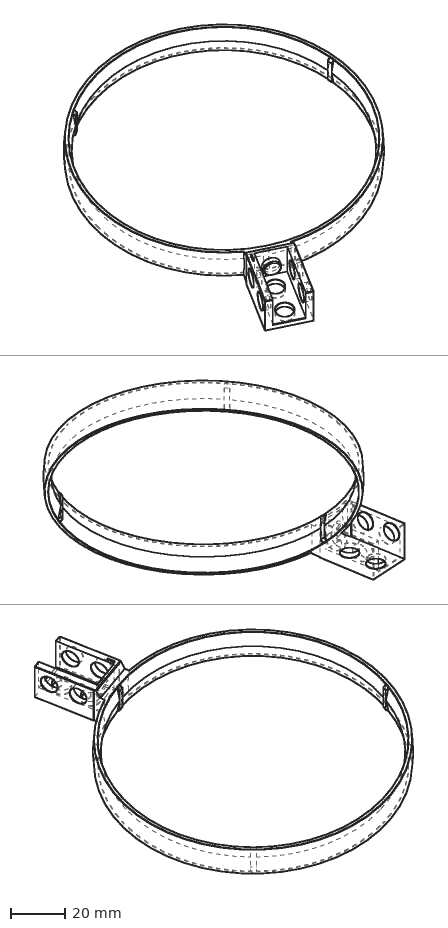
import cadquery as cq

overall_length = 146.9

ring_height = 12.5
outer_radius = 59.2
outer_rim_radius = 58.8
inner_radius = 56.1
inner_rim_radius = 57.3
rim_break = 0.1

rib_count = 3
rib_width = 2.0
rib_ramp_length = 1.2

lug_length = 25.4
lug_end = overall_length - outer_radius
lug_start = lug_end - lug_length
lug_width = 18.8
lug_height = 15.5
edge_break = 0.22
neck_root_width = 17.9
neck_end_width = lug_width - 2 * edge_break
slope_start = 59.8
slope_end = 61.5

gap_setback = 0.6
gap_start = lug_start + gap_setback
gap_width = 12.6
floor_thickness = 2.4

hole_diameter = 7.0
hole_stations = (69.0, 81.4)
arm_hole_height = 9.4
hole_edge_break = 0.1

pin_diameter = 7.0
pin_end = 65.2
pin_end_break = 0.5

mark_length = 3.1
mark_width = 0.5
mark_depth = 0.5
mark_start = 63.3
mark_offset = -7.6


def revolve_about_z(profile):
    """Revolve a closed (radius, height) outline fully around the Z axis."""
    return cq.Workplane("XZ").polyline(profile).close().revolve(360, (0, 0, 0), (0, 1, 0))


def make_ring():
    band = revolve_about_z([
        (inner_rim_radius, 0),
        (outer_rim_radius, 0),
        (outer_radius, ring_height / 2),
        (outer_rim_radius, ring_height),
        (inner_rim_radius, ring_height),
        (inner_radius, ring_height / 2),
    ])
    return band.faces("|Z").chamfer(rim_break)


def make_ribs():
    """Evenly spaced ribs, one of them in line with the lug."""
    rib_band = revolve_about_z([
        (inner_rim_radius, rim_break),
        (inner_radius, rim_break + rib_ramp_length),
        (inner_radius, ring_height - rim_break - rib_ramp_length),
        (inner_rim_radius, ring_height - rim_break),
    ])
    slices = cq.Workplane("XY")
    for index in range(rib_count):
        bar = cq.Workplane("XY").box(outer_radius, rib_width, ring_height, centered=(False, True, False))
        slices = slices.add(bar.rotate((0, 0, 0), (0, 0, 1), index * 360 / rib_count))
    return rib_band.intersect(slices.combine())


def make_neck():
    side_outline = [
        (inner_rim_radius, 0),
        (lug_start, 0),
        (lug_start, lug_height),
        (slope_end, lug_height),
        (slope_start, ring_height),
        (inner_rim_radius, ring_height),
    ]
    plan_outline = [
        (inner_rim_radius, -neck_root_width / 2),
        (lug_start, -neck_end_width / 2),
        (lug_start, neck_end_width / 2),
        (inner_rim_radius, neck_root_width / 2),
    ]
    side = cq.Workplane("XZ").polyline(side_outline).close().extrude(lug_width / 2, both=True)
    side = side.edges("|Y and >Z").edges("<X").chamfer(edge_break)
    plan = cq.Workplane("XY").polyline(plan_outline).close().extrude(lug_height)
    ring_opening = cq.Workplane("XY").circle(inner_rim_radius + rim_break).extrude(lug_height)
    return side.intersect(plan).cut(ring_opening)


def make_holes():
    radius = hole_diameter / 2
    arm_points = [(x, arm_hole_height) for x in hole_stations]
    floor_points = [(x, 0) for x in hole_stations]
    across = cq.Workplane("XZ").pushPoints(arm_points).circle(radius).extrude(lug_width, both=True)
    down = cq.Workplane("XY").pushPoints(floor_points).circle(radius).extrude(floor_thickness)
    return across.union(down)


def make_clevis():
    block = cq.Workplane("XY").box(lug_length, lug_width, lug_height, centered=(False, True, False))
    block = block.translate((lug_start, 0, 0))
    block = block.edges("|Z or (>Z and |X) or (>X and >Z)").chamfer(edge_break)

    gap = cq.Workplane("XY").box(lug_length, gap_width, lug_height, centered=(False, True, False))
    clevis = block.cut(gap.translate((gap_start, 0, floor_thickness)))
    floor_end_edge = cq.selectors.NearestToPointSelector((lug_end, 0, floor_thickness))
    clevis = clevis.edges(floor_end_edge).chamfer(edge_break)

    return clevis.cut(make_holes()).edges("%CIRCLE").chamfer(hole_edge_break)


def make_pin():
    pin = cq.Workplane("YZ").circle(pin_diameter / 2).extrude(pin_end - lug_start)
    pin = pin.faces(">X").chamfer(pin_end_break)
    return pin.translate((lug_start, 0, lug_height / 2))


def make_mark():
    mark = cq.Workplane("XY").box(mark_length, mark_width, mark_depth, centered=(False, True, False))
    return mark.translate((mark_start, mark_offset, lug_height - mark_depth))


result = (
    make_ring()
    .union(make_neck())
    .union(make_ribs())
    .union(make_clevis())
    .union(make_pin())
    .cut(make_mark())
)